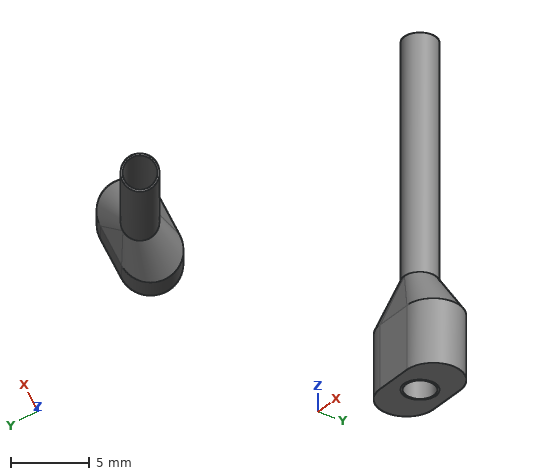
import cadquery as cq

total_height = 26.0
collar_length = 7.1
collar_width = 4.2

straight_height = 4.84
shoulder_height = 8.05

tube_diameter = 2.5
bore_diameter = 2.2

end_radius = collar_width / 2
end_offset = collar_length / 2 - end_radius
tube_radius = tube_diameter / 2


def half_disc_wire(center_x, radius, side, height):
    """D-shaped outline with its flat at center_x, bulging towards side (-1 or +1) along X."""
    return (
        cq.Workplane("XY", origin=(0, 0, height))
        .moveTo(center_x, -radius)
        .threePointArc((center_x + side * radius, 0), (center_x, radius))
        .close()
        .val()
    )


def make_half_cone(side):
    """Slanted half cone from one round end of the collar up to the tube."""
    lower = half_disc_wire(side * end_offset, end_radius, side, straight_height)
    upper = half_disc_wire(0, tube_radius, side, shoulder_height)
    return cq.Workplane(cq.Solid.makeLoft([lower, upper], True))


def make_middle_wedge():
    """Wedge between the half cones; its base narrows along X to a ridge that spans the tube."""
    triangle = (
        cq.Workplane("XZ")
        .polyline([(-end_offset, straight_height), (end_offset, straight_height), (0, shoulder_height)])
        .close()
        .extrude(end_radius, both=True)
    )
    trapezoid = (
        cq.Workplane("YZ")
        .polyline([
            (-end_radius, straight_height),
            (end_radius, straight_height),
            (tube_radius, shoulder_height),
            (-tube_radius, shoulder_height),
        ])
        .close()
        .extrude(end_offset, both=True)
    )
    return triangle.intersect(trapezoid)


def make_collar():
    """Oblong insulating collar that tapers to the round tube, with a hole that fits the tube."""
    collar = cq.Workplane("XY").slot2D(collar_length, collar_width).extrude(straight_height)
    collar = collar.union(make_middle_wedge())
    for side in (-1, 1):
        collar = collar.union(make_half_cone(side))
    tube_hole = cq.Workplane("XY").circle(tube_radius).extrude(shoulder_height)
    return collar.cut(tube_hole)


def make_tube():
    """Thin-walled metal tube, open at both ends, running through the collar."""
    return cq.Workplane("XY").circle(tube_radius).circle(bore_diameter / 2).extrude(total_height)


collar = make_collar()
tube = make_tube()

result = cq.Compound.makeCompound([collar.val(), tube.val()])